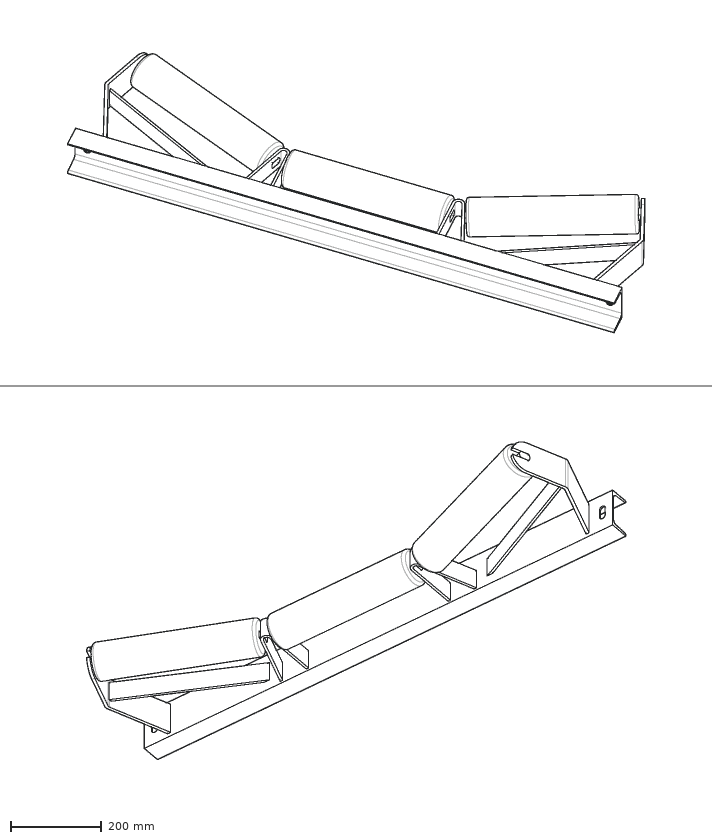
import cadquery as cq
import math


channel_length = 1300.0
channel_height = 100.0
channel_depth = 50.0
web_thickness = 4.0
flange_root = 9.0
flange_tip = 6.0
root_fillet = 9.0
tip_fillet = 5.0
mount_slot_length = 35.0
mount_slot_width = 15.0
mount_slot_inset = 29.0

roller_diameter = 88.0
roller_length = 382.0
roller_fillet = 6.0
shaft_diameter = 27.0
shaft_flats = 18.0
wing_angle = 20.0
centre_roller_y = 117.0
centre_roller_z = -20.0
centre_position = (0, centre_roller_y, centre_roller_z)
side_roller_x = 411.0
side_roller_y = 191.0
side_roller_z = centre_roller_z / 2
side_tilt = math.degrees(math.asin(-centre_roller_z / roller_length))

side_plate_thickness = 8.0
side_bracket_height = 80.0
knee_inner = 6.0
knee_outer = knee_inner + side_plate_thickness
knee_x = 641.0
knee_y = 155.0
side_tip_y = 291.0
side_tip_flat = 3.0

strip_thickness = 6.0
strip_height = 50.0
bend_inner = 8.0
bend_outer = bend_inner + strip_thickness
inner_face_x = 194.0
arch_x = inner_face_x + bend_outer
arch_y = 135.0
brace_foot_x = 310.0
brace_knee_gap = 13.0
hole_overrun = 4.0

wing = math.radians(wing_angle)


def mirrored(solid):
    """The copy on the -X side of a solid on the +X side."""
    return solid.mirror("YZ")


def place_side(solid):
    """Move a solid built along X at the origin to the side roller position."""
    tilted = solid.rotate((0, 0, 0), (0, 1, 0), -side_tilt)
    swung = tilted.rotate((0, 0, 0), (0, 0, 1), wing_angle)
    return swung.translate((side_roller_x, side_roller_y, side_roller_z))


def along_side_axis(x, y):
    """Distance from the middle of the side roller to a point, measured along the roller."""
    plan_distance = (x - side_roller_x) * math.cos(wing) + (y - side_roller_y) * math.sin(wing)
    return plan_distance / math.cos(math.radians(side_tilt))


def on_arch(radius, angle):
    """Point on the bend of the inner bracket."""
    return (arch_x + radius * math.cos(angle), arch_y + radius * math.sin(angle))


centre_shaft_end = inner_face_x + strip_thickness
side_shaft_outer = along_side_axis(knee_x, knee_y)
side_shaft_inner = along_side_axis(*on_arch(bend_inner, wing))


def make_channel():
    half_length = channel_length / 2
    half_height = channel_height / 2
    root_z = half_height - flange_root
    tip_z = half_height - flange_tip
    channel = (
        cq.Workplane("YZ", origin=(-half_length, 0, 0))
        .polyline([
            (0, -half_height),
            (-channel_depth, -half_height),
            (-channel_depth, -tip_z),
            (-web_thickness, -root_z),
            (-web_thickness, root_z),
            (-channel_depth, tip_z),
            (-channel_depth, half_height),
            (0, half_height),
        ])
        .close()
        .extrude(channel_length)
    )
    for side in (-1, 1):
        root_edge = cq.NearestToPointSelector((0, -web_thickness, side * root_z))
        channel = channel.edges(root_edge).fillet(root_fillet)
        tip_edge = cq.NearestToPointSelector((0, -channel_depth, side * tip_z))
        channel = channel.edges(tip_edge).fillet(tip_fillet)

    slot_x = half_length - mount_slot_inset
    slots = (
        cq.Workplane("XZ")
        .pushPoints([(-slot_x, 0), (slot_x, 0)])
        .slot2D(mount_slot_length, mount_slot_width, 90)
        .extrude(web_thickness)
    )
    return channel.cut(slots)


def make_side_bracket():
    """Plate bent at the knee, with a round free end slotted for the side shaft."""
    skew = side_plate_thickness / math.cos(wing)
    foot_x = knee_x - knee_y * math.tan(wing)
    tip_x = knee_x - (side_tip_y - knee_y) * math.tan(wing)
    inner_tip_x = tip_x - side_plate_thickness * math.cos(wing)
    inner_tip_y = side_tip_y - side_plate_thickness * math.sin(wing)
    plate = (
        cq.Workplane("XY", origin=(0, 0, -side_bracket_height / 2))
        .polyline([
            (foot_x, 0),
            (knee_x, knee_y),
            (tip_x, side_tip_y),
            (inner_tip_x, inner_tip_y),
            (knee_x - skew, knee_y),
            (foot_x - skew, 0),
        ])
        .close()
        .extrude(side_bracket_height)
    )
    outer_knee = cq.NearestToPointSelector((knee_x, knee_y, 0))
    plate = plate.edges(outer_knee).fillet(knee_outer)
    inner_knee = cq.NearestToPointSelector((knee_x - skew, knee_y, 0))
    plate = plate.edges(inner_knee).fillet(knee_inner)

    tip_radius = (side_bracket_height - side_tip_flat) / 2
    tip_corners = cq.selectors.BoxSelector(
        (inner_tip_x - skew, inner_tip_y - skew, -side_bracket_height),
        (tip_x + skew, side_tip_y + skew, side_bracket_height),
    )
    plate = plate.edges(tip_corners).edges("not |Z").fillet(tip_radius)

    slot_length = side_tip_y - side_roller_y
    slot_depth = 4 * side_plate_thickness
    slot = cq.Workplane("XY").box(slot_depth, slot_length, shaft_flats, centered=(True, False, True))
    return plate.cut(place_side(slot.translate((side_shaft_outer, 0, 0))))


def make_inner_bracket():
    """Folded strip: one leg square to the centre roller, one square to the side roller."""
    arch_top = (wing + math.pi) / 2

    def foot(radius):
        x, y = on_arch(radius, wing)
        return (x + y * math.tan(wing), 0)

    return (
        cq.Workplane("XY", origin=(0, 0, centre_roller_z - strip_height / 2))
        .moveTo(inner_face_x, 0)
        .lineTo(inner_face_x, arch_y)
        .threePointArc(on_arch(bend_outer, arch_top), on_arch(bend_outer, wing))
        .lineTo(*foot(bend_outer))
        .lineTo(*foot(bend_inner))
        .lineTo(*on_arch(bend_inner, wing))
        .threePointArc(on_arch(bend_inner, arch_top), on_arch(bend_inner, math.pi))
        .lineTo(inner_face_x + strip_thickness, 0)
        .close()
        .extrude(strip_height)
    )


def make_brace():
    """Flat strip from the channel to the knee of the side bracket."""
    top_x = knee_x - brace_knee_gap
    slope = math.atan2(knee_y, top_x - brace_foot_x)
    half_foot = strip_thickness / 2 / math.sin(slope)
    half_top = strip_thickness / 2 / math.cos(slope)
    return (
        cq.Workplane("XY", origin=(0, 0, -strip_height / 2))
        .polyline([
            (brace_foot_x - half_foot, 0),
            (brace_foot_x + half_foot, 0),
            (top_x, knee_y - half_top),
            (top_x, knee_y + half_top),
        ])
        .close()
        .extrude(strip_height)
    )


def make_shaft(x_from, x_to):
    """Round bar along X with a flat above and below."""
    start = cq.Workplane("YZ", origin=(x_from, 0, 0))
    bar = start.circle(shaft_diameter / 2).extrude(x_to - x_from)
    return bar.intersect(start.rect(shaft_diameter, shaft_flats).extrude(x_to - x_from))


def make_roller():
    """Cylinder along X with rounded ends and a bore that fits the shaft."""
    half_length = roller_length / 2
    start = cq.Workplane("YZ", origin=(-half_length, 0, 0))
    roller = start.circle(roller_diameter / 2).extrude(roller_length).edges().fillet(roller_fillet)
    return roller.cut(make_shaft(-half_length, half_length))


def make_frame():
    """Channel, brackets and braces welded into one body, with holes for the shafts."""
    plates = make_side_bracket().union(make_inner_bracket()).union(make_brace())
    side_hole = make_shaft(side_shaft_inner - hole_overrun, side_shaft_outer + hole_overrun)
    centre_hole = make_shaft(-centre_shaft_end, centre_shaft_end)
    plates = plates.cut(place_side(side_hole)).cut(centre_hole.translate(centre_position))
    return make_channel().union(plates).union(mirrored(plates))


frame = make_frame()

centre_roller = make_roller().translate(centre_position)
right_roller = place_side(make_roller())
rollers = [centre_roller, right_roller, mirrored(right_roller)]

centre_shaft = make_shaft(-centre_shaft_end, centre_shaft_end).translate(centre_position)
right_shaft = place_side(make_shaft(side_shaft_inner, side_shaft_outer))
shafts = [centre_shaft, right_shaft, mirrored(right_shaft)]

result = cq.Compound.makeCompound([body.val() for body in [frame, *rollers, *shafts]])